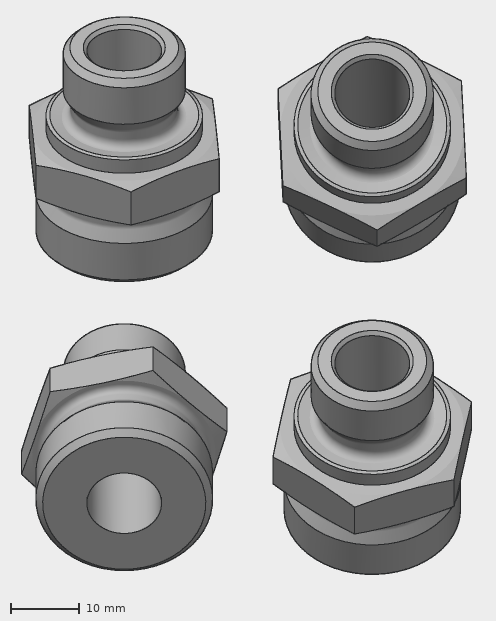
import cadquery as cq
import math

total_height = 33.5
thread_end_length = 12.0
thread_length = 7.5
end_chamfer = 1.0
hex_top = 19.0

hex_across_flats = 27.0
hex_chamfer_angle = math.radians(15)

large_thread_radius = 26.0 / 2
large_groove_radius = 23.7 / 2
small_thread_radius = 18.0 / 2
small_groove_radius = 15.7 / 2
collar_radius = 23.0 / 2
bore_radius = 11.0 / 2
bore_chamfer = 0.55

relief_angle = math.radians(30)
relief_blend = 1.0
large_groove_fillet = 1.0
small_groove_fillet = 1.3

seal_edge_radius = 10.95
seal_edge_drop = 0.15
dish_depth = 0.37

hex_bottom = thread_end_length
seal_edge_z = total_height - thread_end_length
dish_bottom_z = seal_edge_z - dish_depth
arc_middle = math.sqrt(0.5)


def add_thread_end(profile, thread_radius, groove_radius, end_z, inward):
    """Draw a thread from its end face to its groove floor; inward is +1 or -1 along Z."""
    cone_end_radius = groove_radius + relief_blend * (1 - math.cos(relief_angle))
    cone_length = (thread_radius - cone_end_radius) / math.tan(relief_angle)
    cone_end = thread_length + cone_length
    floor_start = cone_end + relief_blend * math.sin(relief_angle)
    half_angle = relief_angle / 2
    blend_middle_radius = groove_radius + relief_blend * (1 - math.cos(half_angle))
    blend_middle = floor_start - relief_blend * math.sin(half_angle)
    return (
        profile.lineTo(thread_radius - end_chamfer, end_z)
        .lineTo(thread_radius, end_z + inward * end_chamfer)
        .lineTo(thread_radius, end_z + inward * thread_length)
        .lineTo(cone_end_radius, end_z + inward * cone_end)
        .threePointArc(
            (blend_middle_radius, end_z + inward * blend_middle),
            (groove_radius, end_z + inward * floor_start),
        )
    )


def add_groove_fillet(profile, groove_radius, fillet, shoulder_z, inward):
    """Continue along the groove floor and round out to the shoulder."""
    return profile.lineTo(groove_radius, shoulder_z - inward * fillet).threePointArc(
        (groove_radius + fillet * (1 - arc_middle), shoulder_z - inward * fillet * (1 - arc_middle)),
        (groove_radius + fillet, shoulder_z),
    )


def make_large_end():
    profile = cq.Workplane("XZ")
    profile = add_thread_end(profile, large_thread_radius, large_groove_radius, 0, 1)
    profile = add_groove_fillet(profile, large_groove_radius, large_groove_fillet, hex_bottom, 1)
    return profile.lineTo(0, hex_bottom).close().revolve(360, (0, 0), (0, 1))


def make_small_end():
    """Small thread, its groove and the collar with the sealing edge."""
    profile = cq.Workplane("XZ").moveTo(0, total_height)
    profile = add_thread_end(profile, small_thread_radius, small_groove_radius, total_height, -1)
    profile = add_groove_fillet(profile, small_groove_radius, small_groove_fillet, dish_bottom_z, -1)
    return (
        profile.lineTo(seal_edge_radius, seal_edge_z)
        .lineTo(collar_radius, seal_edge_z - seal_edge_drop)
        .lineTo(collar_radius, hex_top)
        .lineTo(0, hex_top)
        .close()
        .revolve(360, (0, 0), (0, 1))
    )


def make_hexagon():
    """Hexagon with two flats facing +X and -X, its corners turned off conically."""
    corner_radius = hex_across_flats / 2 / math.cos(math.pi / 6)
    face_radius = hex_across_flats / 2
    corner_drop = (corner_radius - face_radius) * math.tan(hex_chamfer_angle)
    prism = (
        cq.Workplane("XY", origin=(0, 0, hex_bottom))
        .polygon(6, 2 * corner_radius)
        .extrude(hex_top - hex_bottom)
        .rotate((0, 0, 0), (0, 0, 1), 30)
    )
    turned_blank = (
        cq.Workplane("XZ")
        .moveTo(0, hex_bottom)
        .lineTo(face_radius, hex_bottom)
        .lineTo(corner_radius, hex_bottom + corner_drop)
        .lineTo(corner_radius, hex_top - corner_drop)
        .lineTo(face_radius, hex_top)
        .lineTo(0, hex_top)
        .close()
        .revolve(360, (0, 0), (0, 1))
    )
    return prism.intersect(turned_blank)


def make_bore():
    """Through bore, chamfered at the small end."""
    return (
        cq.Workplane("XZ")
        .lineTo(bore_radius, 0)
        .lineTo(bore_radius, total_height - bore_chamfer)
        .lineTo(bore_radius + bore_chamfer, total_height)
        .lineTo(0, total_height)
        .close()
        .revolve(360, (0, 0), (0, 1))
    )


result = make_hexagon().union(make_large_end()).union(make_small_end()).cut(make_bore())